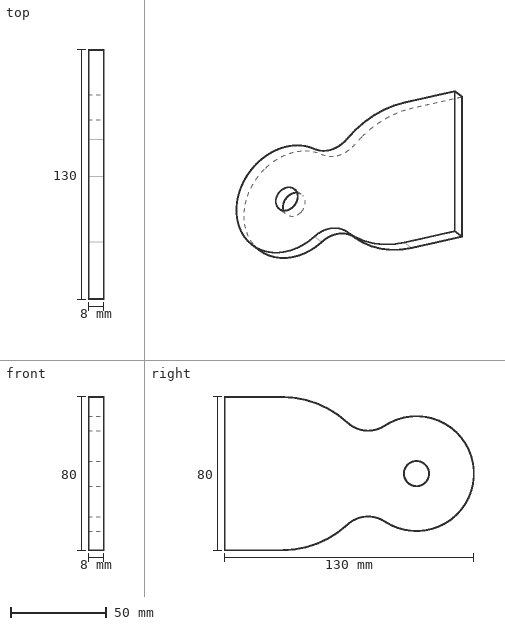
import cadquery as cq
import math

THICKNESS = 8.0
PLATE_HEIGHT = 80.0
EYE_RADIUS = 30.0
HOLE_DIAMETER = 13.0
EYE_DISTANCE = 100.0
STRAIGHT_LENGTH = 30.0
SHOULDER_RADIUS = 50.0
NECK_RADIUS = 15.8

HALF_HEIGHT = PLATE_HEIGHT / 2
EYE_CENTER = (EYE_DISTANCE, 0.0)
SHOULDER_CENTER = (STRAIGHT_LENGTH, HALF_HEIGHT - SHOULDER_RADIUS)


def outer_tangent_center(center_a, radius_a, center_b, radius_b, radius):
    """Center, on the upper side, of a circle touching circles A and B from outside."""
    reach_a = radius_a + radius
    reach_b = radius_b + radius
    span_y = center_b[0] - center_a[0]
    span_z = center_b[1] - center_a[1]
    span = math.hypot(span_y, span_z)
    along = (reach_a**2 - reach_b**2 + span**2) / (2 * span)
    offset = math.sqrt(reach_a**2 - along**2)
    return (
        center_a[0] + (along * span_y - offset * span_z) / span,
        center_a[1] + (along * span_z + offset * span_y) / span,
    )


def point_toward(center, target, distance):
    """Point at the given distance from center in the direction of target."""
    angle = math.atan2(target[1] - center[1], target[0] - center[0])
    return (
        center[0] + distance * math.cos(angle),
        center[1] + distance * math.sin(angle),
    )


def arc_middle(center, radius, start, end):
    """Point halfway along the short arc from start to end."""
    chord_middle = ((start[0] + end[0]) / 2, (start[1] + end[1]) / 2)
    return point_toward(center, chord_middle, radius)


def mirrored(point):
    """Same point on the lower edge."""
    return (point[0], -point[1])


def make_plate():
    """Plate with a straight end, arced shoulders, a neck and a round eye."""
    neck_center = outer_tangent_center(
        SHOULDER_CENTER, SHOULDER_RADIUS, EYE_CENTER, EYE_RADIUS, NECK_RADIUS
    )
    corner = (0.0, HALF_HEIGHT)
    straight_end = (STRAIGHT_LENGTH, HALF_HEIGHT)
    neck_start = point_toward(SHOULDER_CENTER, neck_center, SHOULDER_RADIUS)
    neck_end = point_toward(EYE_CENTER, neck_center, EYE_RADIUS)
    shoulder_middle = arc_middle(SHOULDER_CENTER, SHOULDER_RADIUS, straight_end, neck_start)
    neck_middle = arc_middle(neck_center, NECK_RADIUS, neck_start, neck_end)
    eye_tip = (EYE_DISTANCE + EYE_RADIUS, 0.0)

    return (
        cq.Workplane("YZ")
        .moveTo(*corner)
        .lineTo(*straight_end)
        .threePointArc(shoulder_middle, neck_start)
        .threePointArc(neck_middle, neck_end)
        .threePointArc(eye_tip, mirrored(neck_end))
        .threePointArc(mirrored(neck_middle), mirrored(neck_start))
        .threePointArc(mirrored(shoulder_middle), mirrored(straight_end))
        .lineTo(*mirrored(corner))
        .close()
        .extrude(THICKNESS)
    )


def make_eye_hole():
    """Cylinder that cuts the through hole at the eye center."""
    return cq.Workplane("YZ").center(*EYE_CENTER).circle(HOLE_DIAMETER / 2).extrude(THICKNESS)


result = make_plate().cut(make_eye_hole())